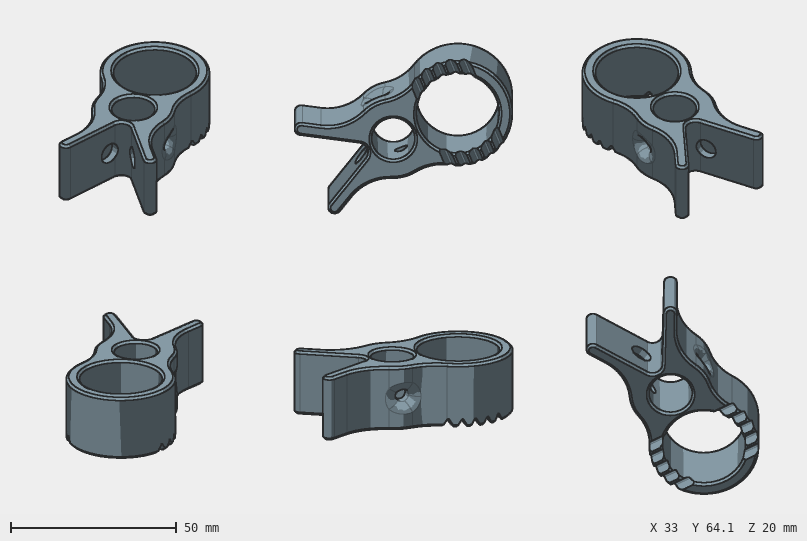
import cadquery as cq
import math

height = 20.0
length = 64.1
width = 33.0
edge_chamfer = 0.8

large_bore_diameter = 25.0
small_bore_diameter = 13.0
bore_spacing = 21.0
boss_radius = 12.5

leg_angle = 30.0
leg_thickness = 4.0
leg_tip_x = 13.3
waist_radius = 15.0
notch_radius = 3.0

cross_hole_diameter = 4.0
cross_hole_mouth_radius = 3.0

pocket_diameter = 6.5
pocket_depth = 2.5
pocket_x = 3.65

groove_count = 5
groove_span = 16.0
groove_half_width = 1.65
groove_flank_angle = 30.0
groove_root_radius = 0.3

boss_y = -bore_spacing
ring_radius = width / 2
groove_pitch = groove_span / (groove_count - 1)
tip_radius = leg_thickness / 2
tip_y = ring_radius - length + tip_radius
leg_sin = math.sin(math.radians(leg_angle))
leg_cos = math.cos(math.radians(leg_angle))

tip_inner = (leg_tip_x - tip_radius * leg_cos, tip_y - tip_radius * leg_sin)


def toward(start, target, distance):
    """Point at a distance from start, on the line to target."""
    ratio = distance / math.dist(start, target)
    return tuple(s + (t - s) * ratio for s, t in zip(start, target))


def on_arc(center, radius, start, end):
    """Middle point of the shorter arc from start to end."""
    chord_middle = tuple((s + e) / 2 for s, e in zip(start, end))
    return toward(center, chord_middle, radius)


def mirrored(point):
    """The same point on the left half."""
    return (-point[0], point[1])


def make_body():
    """Extrude the outline and bore it; named points lie on the right half (+X)."""
    ring_center = (0, 0)
    boss_center = (0, boss_y)

    ring_reach = ring_radius + waist_radius
    boss_reach = boss_radius + waist_radius
    drop = (ring_reach**2 - boss_reach**2 + bore_spacing**2) / (2 * bore_spacing)
    upper_waist = (math.sqrt(ring_reach**2 - drop**2), -drop)
    ring_end = toward(ring_center, upper_waist, ring_radius)
    boss_start = toward(boss_center, upper_waist, boss_radius)

    offset = tip_radius + waist_radius
    base_x = leg_tip_x + offset * leg_cos
    base_y = tip_y + offset * leg_sin - boss_y
    along = base_x * leg_sin - base_y * leg_cos
    slide = along - math.sqrt(along**2 + boss_reach**2 - base_x**2 - base_y**2)
    lower_waist = (base_x - slide * leg_sin, boss_y + base_y + slide * leg_cos)
    boss_end = toward(boss_center, lower_waist, boss_radius)
    leg_start = (lower_waist[0] - waist_radius * leg_cos, lower_waist[1] - waist_radius * leg_sin)

    tip_outer = (leg_tip_x + tip_radius * leg_cos, tip_y + tip_radius * leg_sin)
    tip_end = (leg_tip_x + tip_radius * leg_sin, tip_y - tip_radius * leg_cos)
    notch_y = tip_y + leg_tip_x * leg_cos / leg_sin - (tip_radius + notch_radius) / leg_sin
    notch_side = (notch_radius * leg_cos, notch_y + notch_radius * leg_sin)
    notch_top = (0, notch_y + notch_radius)

    upper_waist_middle = on_arc(upper_waist, waist_radius, ring_end, boss_start)
    boss_middle = on_arc(boss_center, boss_radius, boss_start, boss_end)
    lower_waist_middle = on_arc(lower_waist, waist_radius, boss_end, leg_start)

    outline = (
        cq.Workplane("XY")
        .moveTo(*mirrored(ring_end))
        .threePointArc((0, ring_radius), ring_end)
        .threePointArc(upper_waist_middle, boss_start)
        .threePointArc(boss_middle, boss_end)
        .threePointArc(lower_waist_middle, leg_start)
        .lineTo(*tip_outer)
        .threePointArc(tip_end, tip_inner)
        .lineTo(*notch_side)
        .threePointArc(notch_top, mirrored(notch_side))
        .lineTo(*mirrored(tip_inner))
        .threePointArc(mirrored(tip_end), mirrored(tip_outer))
        .lineTo(*mirrored(leg_start))
        .threePointArc(mirrored(lower_waist_middle), mirrored(boss_end))
        .threePointArc(mirrored(boss_middle), mirrored(boss_start))
        .threePointArc(mirrored(upper_waist_middle), mirrored(ring_end))
        .close()
    )
    large_bore = cq.Workplane("XY").circle(large_bore_diameter / 2).extrude(height)
    small_bore = cq.Workplane("XY").center(*boss_center).circle(small_bore_diameter / 2).extrude(height)
    return outline.extrude(height).cut(large_bore).cut(small_bore)


def cut_cross_hole(body):
    """Drill the boss along X and round both outer mouths of the hole."""
    drill = (
        cq.Workplane("YZ", origin=(-ring_radius, boss_y, height / 2))
        .circle(cross_hole_diameter / 2)
        .extrude(width)
    )
    drilled = body.cut(drill)

    reach = cross_hole_diameter
    half_wall = (boss_radius - small_bore_diameter / 2) / 2
    for side in (-1, 1):
        mouth_x = side * boss_radius
        mouth = cq.selectors.BoxSelector(
            (mouth_x - half_wall, boss_y - reach, height / 2 - reach),
            (mouth_x + half_wall, boss_y + reach, height / 2 + reach),
        )
        drilled = drilled.edges(mouth).fillet(cross_hole_mouth_radius)
    return drilled


def make_pocket(side):
    """Blind pocket square to the inner wall of one leg."""
    mouth_y = tip_inner[1] + (tip_inner[0] - pocket_x) * leg_cos / leg_sin

    outward = cq.Vector(side * leg_cos, leg_sin, 0)
    start = cq.Vector(side * pocket_x, mouth_y, height / 2) - outward * notch_radius
    cutter_length = notch_radius + pocket_depth
    return cq.Workplane(cq.Solid.makeCylinder(pocket_diameter / 2, cutter_length, start, outward))


def make_groove(y):
    """V groove along X with a rounded root."""
    depth = groove_half_width / math.tan(math.radians(groove_flank_angle))
    return (
        cq.Workplane("YZ", origin=(-ring_radius, y, 0))
        .moveTo(-groove_half_width, 0)
        .lineTo(0, depth)
        .lineTo(groove_half_width, 0)
        .close()
        .extrude(width)
        .edges("|X and >Z")
        .fillet(groove_root_radius)
    )


body = make_body().faces("<Z or >Z").chamfer(edge_chamfer)
body = cut_cross_hole(body)
for side in (-1, 1):
    body = body.cut(make_pocket(side))
for index in range(groove_count):
    body = body.cut(make_groove(index * groove_pitch - groove_span / 2))

result = body